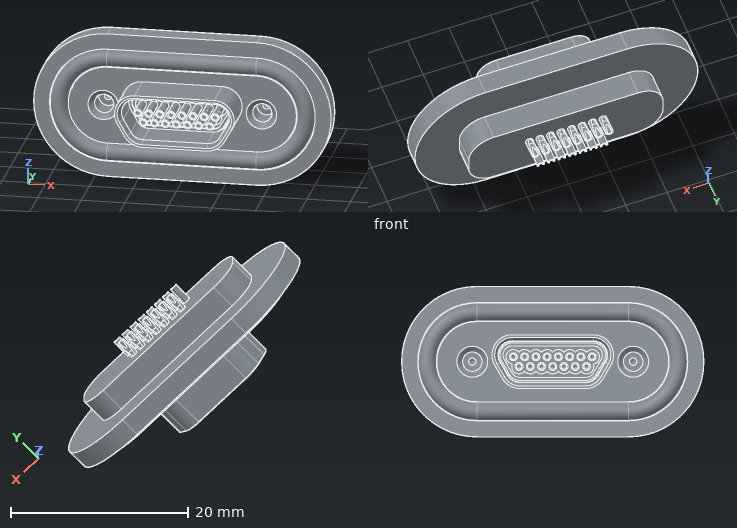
import cadquery as cq
import math


FLANGE_LENGTH = 34.15
FLANGE_HEIGHT = 17.0
FLANGE_THICKNESS = 2.4
STRAIGHT_LENGTH = FLANGE_LENGTH - FLANGE_HEIGHT

RING_RADIUS = 1.02
RING_PROTRUSION = 0.75
RING_PATH_RADIUS = 5.6
GROOVE_WIDTH = 2.15
GROOVE_DEPTH = 2 * RING_RADIUS - RING_PROTRUSION

BLOCK_LENGTH = 23.45
BLOCK_HEIGHT = 7.62
BLOCK_DEPTH = 3.0
BLOCK_CORNER_RADIUS = 3.0
BLOCK_REAR = FLANGE_THICKNESS + BLOCK_DEPTH

SHELL_LENGTH = 5.02
SHELL_CORNER_RADIUS = 2.3
CORE_TOP_HALF_LENGTH = 4.58
CORE_HALF_HEIGHT = 0.75
SIDE_SLOPE = math.radians(30)
CORE_BOTTOM_HALF_LENGTH = CORE_TOP_HALF_LENGTH - 2 * CORE_HALF_HEIGHT * math.tan(SIDE_SLOPE)
LIP_WIDTH = 0.3
WALL_THICKNESS = 0.7
LEAD_IN_DEPTH = 0.65

INSULATOR_HEIGHT = 1.02
INSULATOR_FRONT = -INSULATOR_HEIGHT
INSULATOR_INSET = 0.92
INSULATOR_BASE_INSET = 0.75
RECESS_INSET = 1.25
RECESS_DEPTH = 0.3
SCALLOP_RADIUS = 0.82
SCALLOP_DEPTH = 0.2

CONTACT_PITCH = 1.27
UPPER_ROW_COUNT = 8
LOWER_ROW_COUNT = 7
ROW_HALF_SPACING = CONTACT_PITCH * math.cos(math.radians(30)) / 2
CONTACT_RADIUS = 0.45
CONTACT_BORE_RADIUS = 0.3
CONTACT_BORE_DEPTH = 1.35
CONTACT_SETBACK = 1.35
CONTACT_FRONT = CONTACT_SETBACK - SHELL_LENGTH

TAIL_LENGTH = 2.15
TAIL_LEAN = 5.0
TAIL_ROOT_HEIGHT = 0.95
TAIL_EMBED = 0.35
CUP_BORE_RADIUS = 0.27
CUP_BORE_DEPTH = 1.5
CUP_CUT_DROP = 0.3

SCREW_SPACING = 18.17
COUNTERSINK_RADIUS = 1.75
SCREW_HOLE_RADIUS = 1.1
COUNTERSINK_DEPTH = 0.55
SCREW_HOLE_DEPTH = 3.07
PILOT_RADIUS = 0.4
PILOT_DEPTH = 1.02

DRILL_HALF_ANGLE = math.radians(59)
BACKWARD = cq.Vector(0, 1, 0)


def front_plane(y):
    """Workplane across the connector at depth y; positive extrusion goes forward."""
    return cq.Workplane("XZ", origin=(0, y, 0))


def stadium(y, radius):
    """Outline concentric with the flange ends."""
    return front_plane(y).slot2D(STRAIGHT_LENGTH + 2 * radius, 2 * radius)


def shell_outline(y, inset):
    """D outline lying inside the shell's outer surface by the inset."""
    core = [
        (-CORE_TOP_HALF_LENGTH, CORE_HALF_HEIGHT),
        (CORE_TOP_HALF_LENGTH, CORE_HALF_HEIGHT),
        (CORE_BOTTOM_HALF_LENGTH, -CORE_HALF_HEIGHT),
        (-CORE_BOTTOM_HALF_LENGTH, -CORE_HALF_HEIGHT),
    ]
    return front_plane(y).polyline(core).close().offset2D(SHELL_CORNER_RADIUS - inset, "arc")


def tapered_shell_solid(front_y, front_inset, rear_y, rear_inset):
    """Solid between two D outlines."""
    wires = [shell_outline(front_y, front_inset).val(), shell_outline(rear_y, rear_inset).val()]
    return cq.Workplane(cq.Solid.makeLoft(wires, True))


def drilled_hole(x, z, entry_y, radius, depth):
    """Round hole bored backward from entry_y, ending in a drill cone."""
    cone_height = radius / math.tan(DRILL_HALF_ANGLE)
    bore = cq.Solid.makeCylinder(radius, depth, cq.Vector(x, entry_y, z), BACKWARD)
    tip = cq.Solid.makeCone(radius, 0, cone_height, cq.Vector(x, entry_y + depth, z), BACKWARD)
    return cq.Workplane(bore.fuse(tip))


def row_positions(count):
    return [(i - (count - 1) / 2) * CONTACT_PITCH for i in range(count)]


def contact_positions():
    """(x, row side) of every contact; the side is 1 in the upper row and -1 in the lower."""
    upper = [(x, 1) for x in row_positions(UPPER_ROW_COUNT)]
    lower = [(x, -1) for x in row_positions(LOWER_ROW_COUNT)]
    return upper + lower


def make_flange_and_block():
    flange = stadium(FLANGE_THICKNESS, FLANGE_HEIGHT / 2).extrude(FLANGE_THICKNESS)
    groove = stadium(GROOVE_DEPTH, RING_PATH_RADIUS + GROOVE_WIDTH / 2).extrude(GROOVE_DEPTH)
    groove = groove.cut(stadium(GROOVE_DEPTH, RING_PATH_RADIUS - GROOVE_WIDTH / 2).extrude(GROOVE_DEPTH))
    block = (
        front_plane(BLOCK_REAR)
        .rect(BLOCK_LENGTH, BLOCK_HEIGHT)
        .extrude(BLOCK_DEPTH)
        .edges("|Y")
        .fillet(BLOCK_CORNER_RADIUS)
    )
    return flange.cut(groove).union(block)


def make_shell():
    """Hollow D shell whose inner edge has a lead-in."""
    lead_in_end = LEAD_IN_DEPTH - SHELL_LENGTH
    shell = shell_outline(0, 0).extrude(SHELL_LENGTH)
    cavity = shell_outline(0, WALL_THICKNESS).extrude(-lead_in_end)
    lead_in = tapered_shell_solid(-SHELL_LENGTH, LIP_WIDTH, lead_in_end, WALL_THICKNESS)
    return shell.cut(cavity).cut(lead_in)


def make_insulator():
    """Drafted plug with a recess and a scalloped relief around the contacts."""
    recess_floor = INSULATOR_FRONT + RECESS_DEPTH
    plug = tapered_shell_solid(INSULATOR_FRONT, INSULATOR_INSET, 0, INSULATOR_BASE_INSET)
    plug = plug.cut(shell_outline(recess_floor, RECESS_INSET).extrude(RECESS_DEPTH))
    for x, side in contact_positions():
        scallop = front_plane(recess_floor + SCALLOP_DEPTH).center(x, side * ROW_HALF_SPACING)
        plug = plug.cut(scallop.circle(SCALLOP_RADIUS).extrude(SCALLOP_DEPTH))
    return plug


def make_contact(x, side):
    """Tubular front end of a contact, rooted in the insulator."""
    z = side * ROW_HALF_SPACING
    tube = front_plane(0).center(x, z).circle(CONTACT_RADIUS).extrude(-CONTACT_FRONT)
    return tube.cut(drilled_hole(x, z, CONTACT_FRONT, CONTACT_BORE_RADIUS, CONTACT_BORE_DEPTH))


def make_tail(x, side):
    """Solder cup leaning outward, with a sloping cut that opens its bore."""
    tail = front_plane(-TAIL_EMBED).circle(CONTACT_RADIUS).extrude(-TAIL_LENGTH - TAIL_EMBED)
    bore = front_plane(TAIL_LENGTH).circle(CUP_BORE_RADIUS).extrude(CUP_BORE_DEPTH)
    opening = (
        cq.Workplane("YZ")
        .polyline([
            (0, CONTACT_RADIUS),
            (TAIL_LENGTH, CONTACT_RADIUS),
            (TAIL_LENGTH, CONTACT_RADIUS - CUP_CUT_DROP),
        ])
        .close()
        .extrude(CONTACT_RADIUS, both=True)
    )
    tail = tail.cut(bore).cut(opening).rotate((0, 0, 0), (1, 0, 0), TAIL_LEAN)
    if side < 0:
        tail = tail.mirror("XY")
    return tail.translate((x, BLOCK_REAR, side * TAIL_ROOT_HEIGHT))


def make_screw_hole(x):
    """Countersunk flat-bottomed hole with a small pilot hole in its floor."""
    countersink = cq.Solid.makeCone(
        COUNTERSINK_RADIUS, SCREW_HOLE_RADIUS, COUNTERSINK_DEPTH, cq.Vector(x, 0, 0), BACKWARD
    )
    hole = cq.Solid.makeCylinder(SCREW_HOLE_RADIUS, SCREW_HOLE_DEPTH, cq.Vector(x, 0, 0), BACKWARD)
    pilot = drilled_hole(x, 0, SCREW_HOLE_DEPTH, PILOT_RADIUS, PILOT_DEPTH)
    return pilot.union(cq.Workplane(hole)).union(cq.Workplane(countersink))


def make_housing():
    housing = make_flange_and_block().union(make_shell()).union(make_insulator())
    for x, side in contact_positions():
        housing = housing.union(make_contact(x, side)).union(make_tail(x, side))
    for x in (-SCREW_SPACING / 2, SCREW_SPACING / 2):
        housing = housing.cut(make_screw_hole(x))
    return housing.solids()


def make_seal_ring():
    """Round cord following the stadium path and resting on the groove floor."""
    cord_y = RING_RADIUS - RING_PROTRUSION
    path = stadium(cord_y, RING_PATH_RADIUS).wires()
    return (
        cq.Workplane("YZ", origin=(0, cord_y, RING_PATH_RADIUS))
        .circle(RING_RADIUS)
        .sweep(path)
    )


housing = make_housing()
seal_ring = make_seal_ring()
result = cq.Compound.makeCompound([housing.val(), seal_ring.val()])